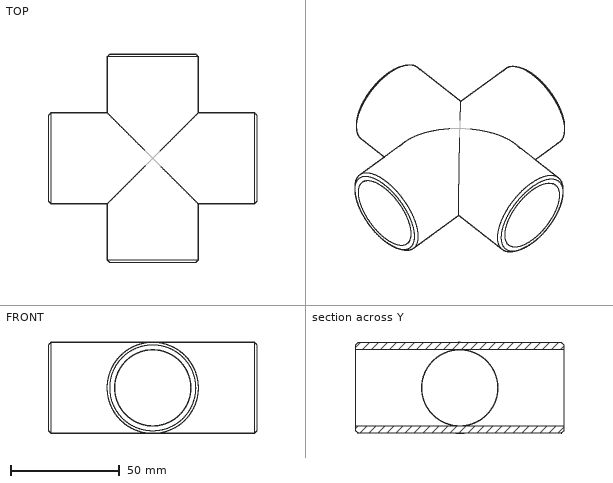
import cadquery as cq

overall_length = 96.0
outer_diameter = 42.0
bore_diameter = 35.0
end_chamfer = 1.2


def outer_run(plane):
    """Solid cylinder along the plane normal, centred on the origin, with bevelled ends."""
    cylinder = cq.Workplane(plane).circle(outer_diameter / 2).extrude(overall_length / 2, both=True)
    return cylinder.faces("not %CYLINDER").chamfer(end_chamfer)


def bore(plane):
    """Through bore along the plane normal."""
    return cq.Workplane(plane).circle(bore_diameter / 2).extrude(overall_length / 2, both=True)


run_planes = ("YZ", "XZ")

body = outer_run(run_planes[0]).union(outer_run(run_planes[1]))
for run_plane in run_planes:
    body = body.cut(bore(run_plane))

result = body